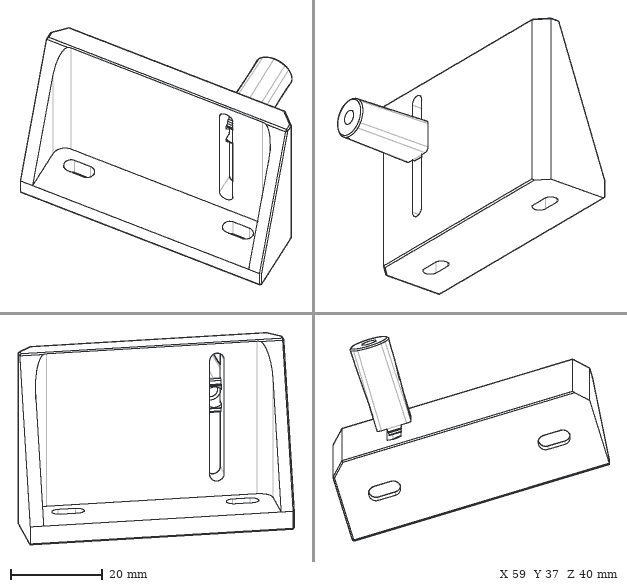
import cadquery as cq

WIDTH = 59.0
HEIGHT = 40.0
DEPTH = 18.0
BACK_WALL = 5.0
FLOOR = 4.3
SIDE_WALL = 3.0
CORNER_CHAMFER = 3.0
POCKET_FILLET = 3.0
EDGE_CHAMFER = 0.35

SLOT_WIDTH = 3.25
FLOOR_SLOT_LENGTH = 7.2
FLOOR_SLOT_X = 19.45
FLOOR_SLOT_FROM_BACK = 9.15
WALL_SLOT_LENGTH = 29.7
WALL_SLOT_X = 14.5
WALL_SLOT_Z = 22.65

PIN_Z = 26.2
PIN_LENGTH = 18.95
PIN_BASE_SIDE = 7.8
PIN_BASE_CORNER = 1.0
PIN_END_DIAMETER = 8.95
PIN_CHAMFER = 0.35
KEY_LENGTH = PIN_BASE_SIDE
KEY_DEPTH = 1.0
KEY_CHAMFER = 0.35
KEY_STEP_LENGTH = 5.4
KEY_STEP_DEPTH = 0.75
KEY_STEP_CHAMFER = 0.2
BORE_DIAMETER = 3.25
COUNTERBORE_DIAMETER = 4.7
COUNTERBORE_DEPTH = 5.0


def bracket_blank():
    """Wedge-shaped block with chamfered rear corners and broken edges."""
    blank = (
        cq.Workplane("YZ")
        .polyline([(0, 0), (0, HEIGHT), (-BACK_WALL, HEIGHT), (-DEPTH, FLOOR), (-DEPTH, 0)])
        .close()
        .extrude(WIDTH / 2, both=True)
        .edges("|Z and >Y")
        .chamfer(CORNER_CHAMFER)
    )
    corner_start = WIDTH / 2 - CORNER_CHAMFER
    top_edges = blank.faces(">Z").edges()
    bottom_edges = blank.faces("<Z").edges().filter(lambda edge: edge.Center().x > -corner_start)
    side_edges = blank.faces(">X").edges().filter(lambda edge: edge.Center().y < -CORNER_CHAMFER)
    broken_edges = top_edges.add(bottom_edges).add(side_edges).vals()
    unique_edges = list({edge.hashCode(): edge for edge in broken_edges}.values())
    return blank.newObject(unique_edges).chamfer(EDGE_CHAMFER)


def pocket():
    """Space in front of the back wall, between the side walls and above the floor."""
    return (
        cq.Workplane("XY", origin=(0, -BACK_WALL - DEPTH / 2, FLOOR))
        .rect(WIDTH - 2 * SIDE_WALL, DEPTH)
        .extrude(HEIGHT)
        .edges("|Z and >Y")
        .fillet(POCKET_FILLET)
    )


def make_bracket():
    floor_slots = (
        cq.Workplane("XY")
        .pushPoints([(side * FLOOR_SLOT_X, -FLOOR_SLOT_FROM_BACK) for side in (-1, 1)])
        .slot2D(FLOOR_SLOT_LENGTH, SLOT_WIDTH)
        .extrude(FLOOR)
    )
    wall_slot = (
        cq.Workplane("XZ")
        .center(WALL_SLOT_X, WALL_SLOT_Z)
        .slot2D(WALL_SLOT_LENGTH, SLOT_WIDTH, 90)
        .extrude(BACK_WALL)
    )
    return bracket_blank().cut(pocket()).cut(floor_slots).cut(wall_slot)


def key_layer(length, depth, chamfer, start):
    """Bar across the slot width, `depth` thick towards -Y, with chamfered front ends."""
    return (
        cq.Workplane("XY")
        .box(SLOT_WIDTH, depth, length)
        .edges("<Y and |X")
        .chamfer(chamfer)
        .translate((0, -start - depth / 2, 0))
    )


def make_shank():
    """Loft from a rounded square on the back wall to a round free end with a broken edge."""
    base_outline = cq.Sketch().rect(PIN_BASE_SIDE, PIN_BASE_SIDE).vertices().fillet(PIN_BASE_CORNER)
    end_outline = cq.Sketch().circle(PIN_END_DIAMETER / 2)
    return (
        cq.Workplane("ZX")
        .placeSketch(base_outline, end_outline.moved(cq.Location(cq.Vector(0, 0, PIN_LENGTH))))
        .loft()
        .faces(">Y")
        .chamfer(PIN_CHAMFER)
    )


def make_pin():
    """Pin along +Y from the back wall, with its key reaching into the slot."""
    shank = make_shank()
    key = key_layer(KEY_LENGTH, KEY_DEPTH, KEY_CHAMFER, 0)
    key_step = key_layer(KEY_STEP_LENGTH, KEY_STEP_DEPTH, KEY_STEP_CHAMFER, KEY_DEPTH)
    key_front = -(KEY_DEPTH + KEY_STEP_DEPTH)
    front_plane = cq.Workplane("ZX", origin=(0, key_front, 0))
    bore = front_plane.circle(BORE_DIAMETER / 2).extrude(PIN_LENGTH - key_front)
    counterbore = front_plane.circle(COUNTERBORE_DIAMETER / 2).extrude(COUNTERBORE_DEPTH)
    pin = shank.union(key).union(key_step).cut(bore).cut(counterbore)
    return pin.translate((WALL_SLOT_X, 0, PIN_Z))


bracket = make_bracket()
pin = make_pin()
result = cq.Compound.makeCompound([bracket.solids().val(), pin.solids().val()])